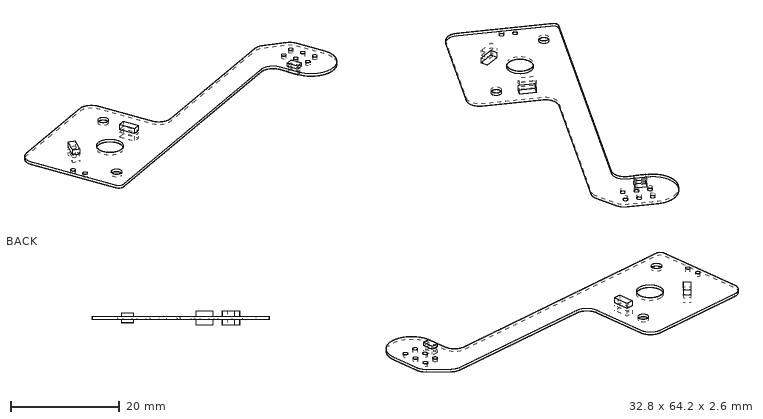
import cadquery as cq

board_length = 64.15
board_width = 32.8
board_thickness = 0.6
base_height = 24.8
stem_left = 16.5
stem_right = 21.55
head_height = 9.5
head_chamfer = 4.6
corner_radius = 2.5
small_corner_radius = 1.0

head_bottom = board_length - head_height
head_radius = head_height / 2
head_center_x = board_width - head_radius
head_center_y = board_length - head_radius

center_hole_diameter = 5.0
center_hole_x = 12.0
center_hole_y = 12.65
mount_hole_diameter = 2.0
mount_offset_x = 6.0
mount_offset_y = 8.0
pin_hole_diameter = 0.9
pin_pitch = 2.55
base_pins_y = 1.2
head_pins_x = 24.95
head_pins_y = 60.3

component_width = 1.4
large_length = 3.2
large_height = 1.0
small_length = 2.25
small_height = 0.65
upper_component_y = 19.7
tilted_component_x = 7.1
tilted_component_y = 7.75
tilt_angle = -45
head_component_x = 26.25
head_component_y = 56.25


def make_plate():
    """Flat plate: square base, narrow stem and round-ended head."""
    plate = (
        cq.Workplane("XY")
        .workplane(offset=-board_thickness / 2)
        .moveTo(0, 0)
        .lineTo(stem_right, 0)
        .lineTo(stem_right, head_bottom)
        .lineTo(head_center_x, head_bottom)
        .threePointArc((board_width, head_center_y), (head_center_x, board_length))
        .lineTo(stem_left + head_chamfer, board_length)
        .lineTo(stem_left, board_length - head_chamfer)
        .lineTo(stem_left, base_height)
        .lineTo(0, base_height)
        .close()
        .extrude(board_thickness)
    )
    rounded_corners = [
        (0, 0),
        (0, base_height),
        (stem_left, base_height),
        (stem_left, board_length - head_chamfer),
        (stem_left + head_chamfer, board_length),
        (stem_right, head_bottom),
    ]
    for x, y in rounded_corners:
        corner_edge = cq.selectors.NearestToPointSelector((x, y, 0))
        plate = plate.edges("|Z").edges(corner_edge).fillet(corner_radius)
    small_corner_edge = cq.selectors.NearestToPointSelector((stem_right, 0, 0))
    return plate.edges("|Z").edges(small_corner_edge).fillet(small_corner_radius)


def make_hole_cutters(diameter, centers):
    """Cylinders through the full board thickness."""
    return (
        cq.Workplane("XY")
        .pushPoints(centers)
        .circle(diameter / 2)
        .extrude(board_thickness, both=True)
    )


def make_board():
    """Plate with its center hole, mounting holes and pin holes."""
    mount_centers = [
        (center_hole_x + side * mount_offset_x, center_hole_y - side * mount_offset_y)
        for side in (-1, 1)
    ]
    base_pin_centers = [
        (center_hole_x + side * pin_pitch / 2, base_pins_y) for side in (-1, 1)
    ]
    head_pin_centers = [
        (head_pins_x + column * pin_pitch, head_pins_y + side * pin_pitch / 2)
        for column in (-1, 0, 1)
        for side in (-1, 1)
    ]
    return (
        make_plate()
        .cut(make_hole_cutters(center_hole_diameter, [(center_hole_x, center_hole_y)]))
        .cut(make_hole_cutters(mount_hole_diameter, mount_centers))
        .cut(make_hole_cutters(pin_hole_diameter, base_pin_centers + head_pin_centers))
    )


def make_component(length, height, x, y, angle, side):
    """Rectangular component resting on the upper (side=1) or lower (side=-1) board face."""
    center_z = side * (board_thickness + height) / 2
    return (
        cq.Workplane("XY")
        .box(length, component_width, height)
        .rotate((0, 0, 0), (0, 0, 1), angle)
        .translate((x, y, center_z))
    )


board = make_board()

component_layout = [
    (large_length, large_height, center_hole_x, upper_component_y, 0),
    (large_length, large_height, tilted_component_x, tilted_component_y, tilt_angle),
    (small_length, small_height, head_component_x, head_component_y, 0),
]
components = [
    make_component(length, height, x, y, angle, side)
    for length, height, x, y, angle in component_layout
    for side in (1, -1)
]

result = cq.Compound.makeCompound(
    [board.solids().val()] + [component.val() for component in components]
)